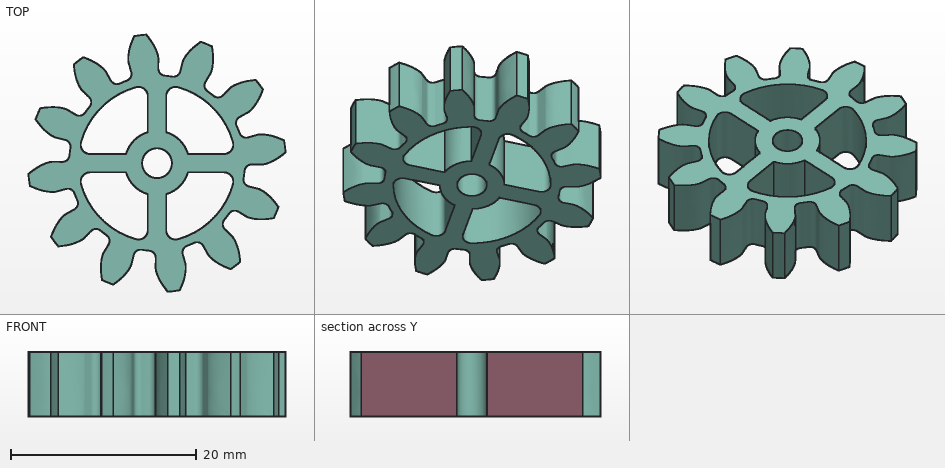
import cadquery as cq
import math


tooth_count = 12
module = 2.0
dedendum = 1.25 * module
pressure_angle = math.radians(20)
tip_radius = 13.95
root_fillet = 0.75
flank_points = 8
thickness = 7.0

pitch_radius = module * tooth_count / 2
base_radius = pitch_radius * math.cos(pressure_angle)
root_radius = pitch_radius - dedendum

tooth_pitch = 2 * math.pi / tooth_count
first_tooth_angle = tooth_pitch / 4

bore_diameter = 3.2
hub_radius = 3.5
rim_inner_radius = 8.5
spoke_width = 2.0
window_fillet = 1.0
spoke_count = 4


def polar(radius, angle):
    return (radius * math.cos(angle), radius * math.sin(angle))


def involute_angle(radius):
    """Polar angle swept by the base circle involute when it reaches this radius."""
    roll = math.sqrt(max((radius / base_radius) ** 2 - 1, 0))
    return roll - math.atan(roll)


base_half_angle = tooth_pitch / 4 + involute_angle(pitch_radius)

fillet_center_radius = root_radius + root_fillet
fillet_end_radius = math.sqrt(fillet_center_radius**2 - root_fillet**2)
fillet_angle = math.asin(root_fillet / fillet_center_radius)
root_half_angle = base_half_angle + fillet_angle


def fillet_middle(center_angle, flank_side):
    """Middle point of a root fillet; flank_side is +1 if the flank lies counterclockwise of the fillet."""
    center_x, center_y = polar(fillet_center_radius, center_angle)
    half_sweep = (math.pi / 2 - fillet_angle) / 2
    offset_x, offset_y = polar(root_fillet, center_angle + math.pi - flank_side * half_sweep)
    return (center_x + offset_x, center_y + offset_y)


def flank(tooth_angle, side):
    """Involute points from the base circle to the tip, on one side of a tooth."""
    points = []
    for i in range(flank_points + 1):
        radius = base_radius + (tip_radius - base_radius) * (i / flank_points) ** 2
        points.append(polar(radius, tooth_angle + side * (base_half_angle - involute_angle(radius))))
    return points


def add_tooth(outline, angle):
    """Continue the outline counterclockwise over one tooth and the root land after it."""
    rising = flank(angle, -1)
    falling = flank(angle, 1)[::-1]
    fillet_end = polar(fillet_end_radius, angle + base_half_angle)
    land_start = polar(root_radius, angle + root_half_angle)
    land_middle = polar(root_radius, angle + tooth_pitch / 2)
    land_end = polar(root_radius, angle + tooth_pitch - root_half_angle)

    outline = outline.threePointArc(
        fillet_middle(angle - root_half_angle, 1),
        polar(fillet_end_radius, angle - base_half_angle),
    )
    outline = outline.lineTo(*rising[0])
    outline = outline.spline(rising[1:], includeCurrent=True)
    outline = outline.threePointArc(polar(tip_radius, angle), falling[0])
    outline = outline.spline(falling[1:], includeCurrent=True)
    outline = outline.lineTo(*fillet_end)
    outline = outline.threePointArc(fillet_middle(angle + root_half_angle, -1), land_start)
    return outline.threePointArc(land_middle, land_end)


def gear_blank():
    outline = cq.Workplane("XY").moveTo(*polar(root_radius, first_tooth_angle - root_half_angle))
    for i in range(tooth_count):
        outline = add_tooth(outline, first_tooth_angle + i * tooth_pitch)
    return outline.close().extrude(thickness)


def window():
    """Opening between two spokes in the +X +Y quarter, rounded at the two rim corners."""
    ring = cq.Workplane("XY").circle(rim_inner_radius).circle(hub_radius).extrude(thickness)
    quarter = (
        cq.Workplane("XY")
        .moveTo(spoke_width / 2, spoke_width / 2)
        .rect(rim_inner_radius, rim_inner_radius, centered=False)
        .extrude(thickness)
    )
    opening = ring.intersect(quarter)
    corner_middle_radius = (hub_radius + rim_inner_radius) / 2
    rim_corners = opening.edges("|Z").filter(
        lambda edge: math.hypot(edge.Center().x, edge.Center().y) > corner_middle_radius
    )
    return rim_corners.fillet(window_fillet)


result = gear_blank()
first_window = window()
for i in range(spoke_count):
    result = result.cut(first_window.rotate((0, 0, 0), (0, 0, 1), i * 360 / spoke_count))
result = result.faces(">Z").workplane(origin=(0, 0, 0)).hole(bore_diameter)